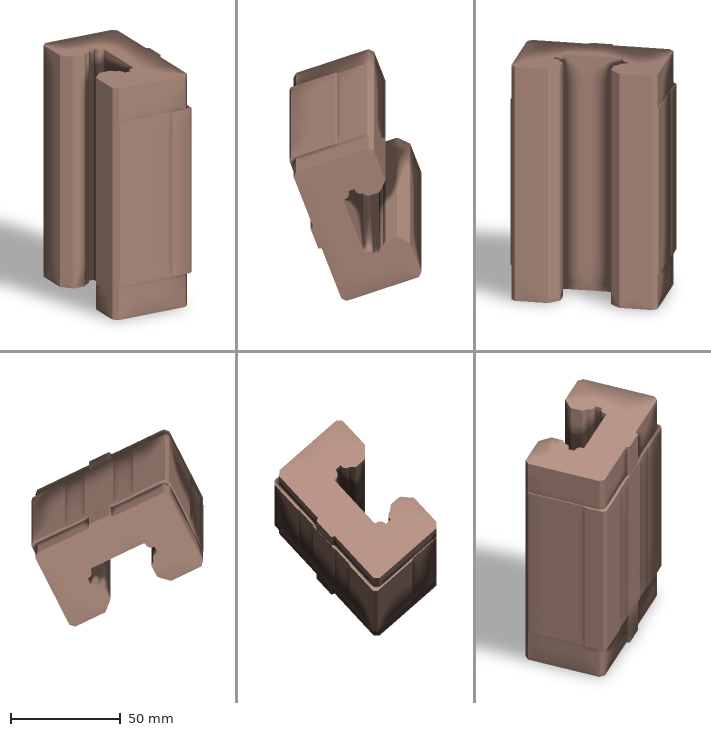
import cadquery as cq

length = 112.7
block_width = 70.0
height = 40.5
end_cap_length = 16.5
block_length = length - 2 * end_cap_length

block_top_chamfer = 1.4
right_foot_chamfer = 2.3
side_relief = 0.6
relief_slope = 0.8
left_relief_top = 16.9
right_relief_top = 29.3
top_groove_inner = 7.2
top_groove_outer = 17.4
top_groove_depth = 0.3

cap_width = 68.1
cap_height = 38.9
cap_top_chamfer = 1.9
cap_foot_chamfer = 2.0
ridge_height = 40.3
ridge_half_base = 5.7
ridge_half_top = 5.1

throat_half = 11.8
throat_bottom = 4.7
throat_top = 10.3
mouth_inner_half = 12.3
mouth_inner_height = 4.1
mouth_half = 16.7
channel_half = 13.9
roof_height = 21.4
race_half = 17.1
race_bottom = 14.8
race_top = 17.9
race_corner_fillet = 0.5
race_lip_radius = 2.6


def prism(outline, depth):
    """Close an outline and extrude it, centred on the XY plane."""
    return outline.close().extrude(depth / 2, both=True)


def make_block():
    """Block with stepped side walls, chamfered corners and two grooves in its top face."""
    half = block_width / 2
    relief_half = half - side_relief
    left_foot_chamfer = relief_half - cap_width / 2 + cap_foot_chamfer
    outline = cq.Workplane("XY").polyline([
        (-relief_half + left_foot_chamfer, 0),
        (relief_half - right_foot_chamfer, 0),
        (relief_half, right_foot_chamfer),
        (relief_half, right_relief_top),
        (half, right_relief_top + relief_slope),
        (half, height - block_top_chamfer),
        (half - block_top_chamfer, height),
        (-half + block_top_chamfer, height),
        (-half, height - block_top_chamfer),
        (-half, left_relief_top + relief_slope),
        (-relief_half, left_relief_top),
        (-relief_half, left_foot_chamfer),
    ])
    groove_center = (top_groove_inner + top_groove_outer) / 2
    grooves = (
        cq.Workplane("XY")
        .pushPoints([(-groove_center, height), (groove_center, height)])
        .rect(top_groove_outer - top_groove_inner, 2 * top_groove_depth)
        .extrude(block_length / 2, both=True)
    )
    return prism(outline, block_length).cut(grooves)


def make_end_caps():
    """Full-length body, slightly smaller than the block, whose two ends are the caps."""
    half = cap_width / 2
    right_side = [
        (half - cap_foot_chamfer, 0),
        (half, cap_foot_chamfer),
        (half, cap_height - cap_top_chamfer),
        (half - cap_top_chamfer, cap_height),
        (ridge_half_base, cap_height),
        (ridge_half_top, ridge_height),
    ]
    left_side = [(-x, y) for x, y in reversed(right_side)]
    return prism(cq.Workplane("XY").polyline(right_side + left_side), length)


def make_channel():
    """Rail channel with a flared mouth and a round-lipped ball race in each wall."""
    lip_end = channel_half + race_lip_radius
    lip_top = race_top + race_lip_radius
    roof_fillet = roof_height - lip_top
    right_half = prism(
        cq.Workplane("XY")
        .lineTo(mouth_half, 0)
        .lineTo(mouth_inner_half, mouth_inner_height)
        .lineTo(throat_half, throat_bottom)
        .lineTo(throat_half, throat_top)
        .lineTo(channel_half, race_bottom - race_lip_radius)
        .radiusArc((lip_end, race_bottom), race_lip_radius)
        .lineTo(race_half, race_bottom)
        .lineTo(race_half, race_top - race_corner_fillet)
        .radiusArc((race_half - race_corner_fillet, race_top), -race_corner_fillet)
        .lineTo(lip_end, race_top)
        .radiusArc((channel_half, lip_top), race_lip_radius)
        .radiusArc((channel_half - roof_fillet, roof_height), -roof_fillet)
        .lineTo(0, roof_height),
        length,
    )
    return right_half.union(right_half.mirror("YZ"))


result = make_end_caps().union(make_block()).cut(make_channel())